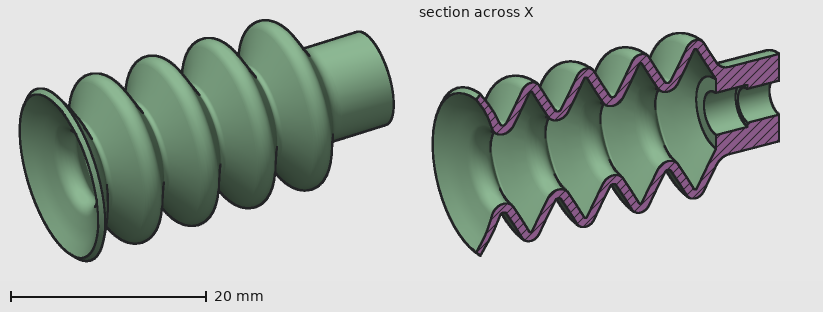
import cadquery as cq
import math


CREST = 1
VALLEY = -1

length = 35.95
rim_radius = 9.2

rim_height = 0.55
lip_edge_radius = 8.7
lip_back_angle = 67.0
lip_root_angle = 74.0

fold_count = 4
fold_pitch = 6.5
fold_angle = 60.0
crest_radius = 9.02
crest_round = 1.2
valley_round = 0.4
wall = 1.05

neck_radius = 5.0
neck_fillet = 1.7
hole_radius = 1.9
counterbore_radius = 2.37

fold_slope = math.tan(math.radians(fold_angle))
apex_gap = 1 / math.cos(math.radians(fold_angle)) - 1
crest_apex = crest_radius + crest_round * apex_gap
valley_apex = crest_apex - fold_slope * fold_pitch / 2
valley_radius = valley_apex + valley_round * apex_gap
last_crest = fold_count * fold_pitch

inner_crest_radius = crest_radius - wall
inner_crest_round = crest_round - wall
throat_radius = valley_radius - wall
throat_round = valley_round + wall

neck_corner = last_crest + (crest_apex - neck_radius) / fold_slope
neck_tangent = neck_fillet * math.tan(math.radians(fold_angle / 2))
neck_start = neck_corner + neck_tangent
neck_fillet_end = (
    neck_radius + neck_tangent * math.sin(math.radians(fold_angle)),
    neck_corner - neck_tangent * math.cos(math.radians(fold_angle)),
)
inner_apex = crest_apex - wall / math.cos(math.radians(fold_angle))
floor = last_crest + (inner_apex - throat_radius) / fold_slope
counterbore_floor = (floor + length) / 2


def round_point(tip_radius, height, round_radius, angle, side):
    """Point on a round, turned by angle from its tip; side is CREST or VALLEY."""
    turn = math.radians(angle)
    return (
        tip_radius - side * round_radius * (1 - math.cos(turn)),
        height + round_radius * math.sin(turn),
    )


def add_round(path, tip_radius, height, round_radius, side, exit_angle):
    """Run down a fold wall to a crest or valley, then over its tip."""
    start = round_point(tip_radius, height, round_radius, fold_angle, side)
    end = round_point(tip_radius, height, round_radius, -exit_angle, side)
    return path.lineTo(*start).threePointArc((tip_radius, height), end)


def add_folds(path, crest_tip, crest_bend, valley_tip, valley_bend, last_angle):
    """Run down all the folds; the first valley ends turned by last_angle to meet the lip."""
    for fold in range(fold_count, 0, -1):
        crest = fold * fold_pitch
        valley = crest - fold_pitch / 2
        exit_angle = last_angle if fold == 1 else fold_angle
        path = add_round(path, crest_tip, crest, crest_bend, CREST, fold_angle)
        path = add_round(path, valley_tip, valley, valley_bend, VALLEY, exit_angle)
    return path


def revolve_about_y(path):
    """Close a half section and turn it into a solid about Y."""
    return path.close().revolve(360, (0, 0), (0, 1))


def outer_body():
    """Solid bounded by the outer skin: neck, folds and lip."""
    path = cq.Workplane("XY").moveTo(0, length).lineTo(neck_radius, length)
    path = path.lineTo(neck_radius, neck_start)
    path = path.tangentArcPoint(neck_fillet_end, relative=False)
    path = add_folds(path, crest_radius, crest_round, valley_radius, valley_round, lip_back_angle)
    path = path.tangentArcPoint((rim_radius, rim_height), relative=False)
    return revolve_about_y(path.lineTo(lip_edge_radius, 0).lineTo(0, 0))


def inner_cavity():
    """Hollow inside the bellows, open at the lip and closed by the neck floor."""
    path = cq.Workplane("XY").moveTo(0, floor).lineTo(throat_radius, floor)
    path = add_folds(
        path, inner_crest_radius, inner_crest_round, throat_radius, throat_round, lip_root_angle
    )
    path = path.tangentArcPoint((lip_edge_radius, 0), relative=False)
    return revolve_about_y(path.lineTo(0, 0))


def neck_hole():
    """Through hole in the neck, wider on the cavity side."""
    path = cq.Workplane("XY").moveTo(0, floor).lineTo(counterbore_radius, floor)
    path = path.lineTo(counterbore_radius, counterbore_floor).lineTo(hole_radius, counterbore_floor)
    return revolve_about_y(path.lineTo(hole_radius, length).lineTo(0, length))


result = outer_body().cut(inner_cavity()).cut(neck_hole())